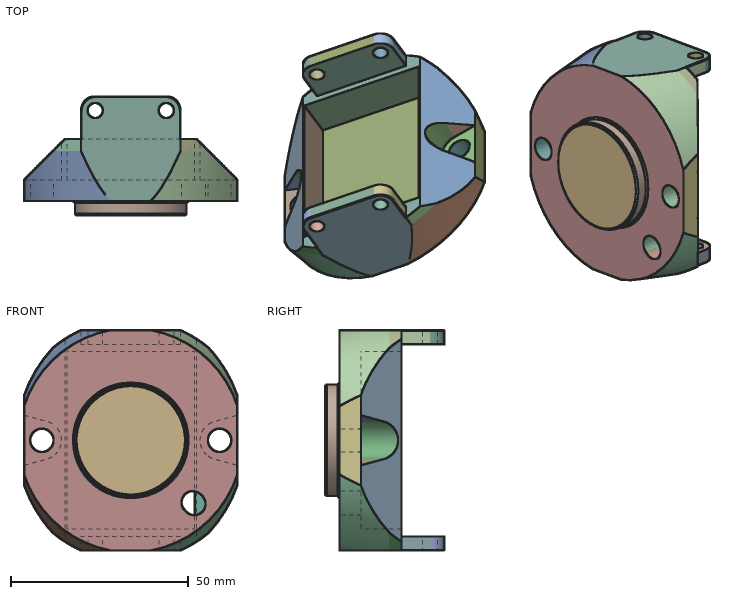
import cadquery as cq
import math

body_width = 60.0
body_height = 62.0
body_depth = 17.5
front_radius = 31.5
back_radius = 34.0
cone_depth = 14.0
side_flat_depth = 6.0

boss_radius = 15.75
boss_height = 4.0
boss_chamfer = 0.5

tab_width = 28.0
tab_length = 12.0
tab_thickness = 4.0
tab_corner_radius = 4.0
tab_edge_chamfer = 0.2
tab_hole_diameter = 4.2
tab_hole_spacing = 20.0
tab_hole_from_end = 4.0

plate_thickness = 6.0
pocket_width = 36.0
pocket_height = body_height - 2 * plate_thickness

hole_circle_radius = 25.0
hole_diameter = 6.5
slot_width = 6.3
slot_length = 6.9
slot_angle = -45.0

recess_radius = 5.5
recess_flare_angle = 15.0


def box(x_size, z_size, y_start, y_end):
    """Block centred on the Y axis between two depths."""
    block = cq.Workplane("XY").box(x_size, y_end - y_start, z_size)
    return block.translate((0, (y_start + y_end) / 2, 0))


def facing_back(y):
    """Workplane at depth y whose extrusions go towards +Y; its local X is the part's -X."""
    return cq.Workplane("XZ", origin=(0, y, 0)).transformed(rotate=(0, 180, 0))


def make_body():
    turned = (
        cq.Workplane("XY")
        .lineTo(front_radius, 0)
        .lineTo(back_radius, cone_depth)
        .lineTo(back_radius, body_depth)
        .lineTo(0, body_depth)
        .close()
        .revolve(360, (0, 0, 0), (0, 1, 0))
    )
    half_width = body_width / 2
    back_half_width = half_width - (body_depth - side_flat_depth)
    outline = (
        cq.Workplane("XY")
        .moveTo(-half_width, 0)
        .lineTo(half_width, 0)
        .lineTo(half_width, side_flat_depth)
        .lineTo(back_half_width, body_depth)
        .lineTo(-back_half_width, body_depth)
        .lineTo(-half_width, side_flat_depth)
        .close()
        .extrude(body_height / 2, both=True)
    )
    return turned.intersect(outline)


def make_boss():
    foot_radius = boss_radius + boss_chamfer
    rim_radius = boss_radius - boss_chamfer
    return (
        cq.Workplane("YZ")
        .lineTo(0, foot_radius)
        .lineTo(-boss_chamfer, boss_radius)
        .lineTo(boss_chamfer - boss_height, boss_radius)
        .lineTo(-boss_height, rim_radius)
        .lineTo(-boss_height, 0)
        .close()
        .revolve(360, (0, 0, 0), (1, 0, 0))
    )


def make_top_tab():
    middle_y = body_depth + tab_length / 2
    tab = (
        cq.Workplane("XY", origin=(0, middle_y, body_height / 2 - tab_thickness))
        .rect(tab_width, tab_length)
        .extrude(tab_thickness)
        .edges("|Z and >Y")
        .fillet(tab_corner_radius)
    )
    outer_rim = tab.faces(">Z").edges("not <Y")
    chamfered_tab = outer_rim.chamfer(tab_edge_chamfer)
    hole_y = body_depth + tab_length - tab_hole_from_end
    holes = (
        cq.Workplane("XY")
        .pushPoints([(side * tab_hole_spacing / 2, hole_y) for side in (-1, 1)])
        .circle(tab_hole_diameter / 2)
        .extrude(body_height / 2)
    )
    return chamfered_tab.cut(holes)


def make_plate_slot():
    """Short radial slot, as deep as the front plate."""
    angle = math.radians(slot_angle)
    x = hole_circle_radius * math.cos(angle)
    z = hole_circle_radius * math.sin(angle)
    return (
        facing_back(0)
        .center(-x, z)
        .slot2D(slot_length, slot_width, -slot_angle)
        .extrude(plate_thickness)
    )


def make_right_side_hole():
    """Through hole on the +X side together with its recess."""
    hole = facing_back(0).center(-hole_circle_radius, 0).circle(hole_diameter / 2).extrude(body_depth)
    flare = math.radians(recess_flare_angle)
    tangent_x = hole_circle_radius - recess_radius * math.sin(flare)
    tangent_z = recess_radius * math.cos(flare)
    outer_x = back_radius
    outer_z = tangent_z + (outer_x - tangent_x) * math.tan(flare)
    recess = (
        facing_back(plate_thickness)
        .moveTo(-outer_x, outer_z)
        .lineTo(-tangent_x, tangent_z)
        .threePointArc((recess_radius - hole_circle_radius, 0), (-tangent_x, -tangent_z))
        .lineTo(-outer_x, -outer_z)
        .close()
        .extrude(body_depth - plate_thickness)
    )
    return hole.union(recess)


top_tab = make_top_tab()
side_hole = make_right_side_hole()

result = make_body().union(make_boss()).union(top_tab).union(top_tab.mirror("XY"))
pocket = box(pocket_width, pocket_height, plate_thickness, body_depth)
result = result.cut(pocket).cut(make_plate_slot())
result = result.cut(side_hole).cut(side_hole.mirror("YZ"))